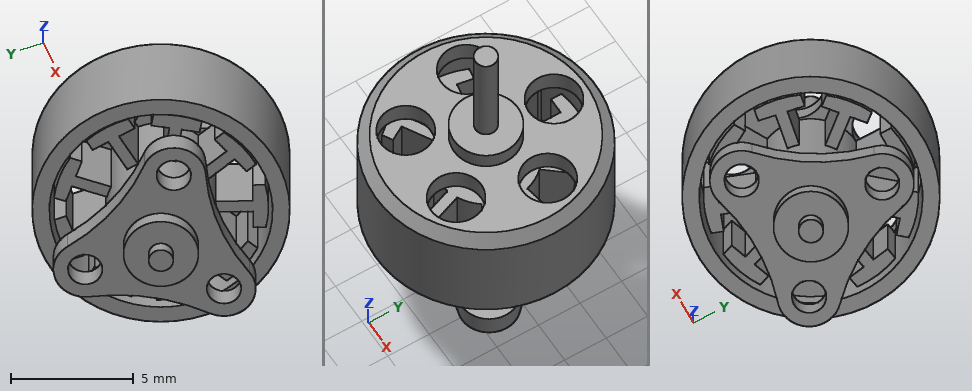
import cadquery as cq
import math

shaft_length = 14.9
lower_collar_bottom = 0.54
lower_collar_thickness = 0.67
base_bottom = 1.3
base_thickness = 1.01
bell_bottom = 4.02
bell_height = 4.99
bell_plate = 1.0
hub_height = 0.8
ceiling_gap = 0.73
stator_height = 3.0

shaft_diameter = 1.0
collar_diameter = 3.05
bell_diameter = 10.5
bell_bore = 9.1
bell_chamfer = 0.5
vent_count = 5
vent_diameter = 2.4
vent_circle_radius = 3.28

bore_diameter = 1.3
post_diameter = 4.5
boss_diameter = 3.0
boss_height = 0.21
tooth_count = 9
tooth_width = 0.5
tip_width = 2.0
tip_inner_radius = 3.75
stator_diameter = 8.76

ear_count = 3
ear_circle_radius = 3.31
ear_radius = 1.3
ear_hole_diameter = 1.4
ear_wrap_angle = 77.0

lower_collar_top = lower_collar_bottom + lower_collar_thickness
base_top = base_bottom + base_thickness
bell_top = bell_bottom + bell_height
bell_ceiling = bell_top - bell_plate
stator_top = bell_ceiling - ceiling_gap
stator_bottom = stator_top - stator_height
boss_top = stator_top + boss_height


def cylinder(diameter, bottom, top):
    """Upright cylinder on the Z axis between two heights."""
    return cq.Workplane("XY").workplane(offset=bottom).circle(diameter / 2).extrude(top - bottom)


def polar(radius, angle):
    """X and Y of a point at an angle in degrees from +X."""
    turn = math.radians(angle)
    return (radius * math.cos(turn), radius * math.sin(turn))


def ring_of_points(radius, count):
    """Evenly spaced points on a circle, the first one on +Y."""
    return [polar(radius, 90 + i * 360 / count) for i in range(count)]


def make_rotor():
    """Vented bell, top hub, inner collar resting on the stator boss, shaft and lower collar."""
    bell = cylinder(bell_diameter, bell_bottom, bell_top).faces(">Z").chamfer(bell_chamfer)
    bell = bell.cut(cylinder(bell_bore, bell_bottom, bell_ceiling))
    vents = (
        cq.Workplane("XY")
        .workplane(offset=bell_ceiling)
        .pushPoints(ring_of_points(vent_circle_radius, vent_count))
        .circle(vent_diameter / 2)
        .extrude(bell_plate)
    )
    hub = cylinder(collar_diameter, bell_top, bell_top + hub_height)
    inner_collar = cylinder(boss_diameter, boss_top, bell_ceiling)
    shaft = cylinder(shaft_diameter, 0, shaft_length)
    lower_collar = cylinder(collar_diameter, lower_collar_bottom, lower_collar_top)
    return bell.cut(vents).union(hub).union(inner_collar).union(shaft).union(lower_collar)


def make_base():
    """Three-eared plate: round ears joined by tangent concave arcs."""
    spacing = 360 / ear_count
    half_spacing = spacing / 2
    arc_turn = ear_wrap_angle - half_spacing
    ear_along, ear_across = polar(ear_circle_radius, half_spacing)
    reach = ear_across / math.sin(math.radians(arc_turn))
    arc_center_radius = ear_along + reach * math.cos(math.radians(arc_turn))
    arc_radius = reach - ear_radius
    waist_radius = arc_center_radius - arc_radius

    def ear_tangent(ear_angle, side):
        center = polar(ear_circle_radius, ear_angle)
        edge = polar(ear_radius, ear_angle + side * ear_wrap_angle)
        return (center[0] + edge[0], center[1] + edge[1])

    outline = cq.Workplane("XY").workplane(offset=base_bottom).moveTo(*ear_tangent(90, -1))
    for i in range(ear_count):
        ear_angle = 90 + i * spacing
        ear_end = polar(ear_circle_radius + ear_radius, ear_angle)
        waist = polar(waist_radius, ear_angle + half_spacing)
        outline = outline.threePointArc(ear_end, ear_tangent(ear_angle, 1))
        outline = outline.threePointArc(waist, ear_tangent(ear_angle + spacing, -1))
    plate = outline.close().extrude(base_thickness)
    holes = (
        cq.Workplane("XY")
        .workplane(offset=base_bottom)
        .pushPoints(ring_of_points(ear_circle_radius, ear_count))
        .circle(ear_hole_diameter / 2)
        .extrude(base_thickness)
    )
    return plate.cut(holes)


def make_teeth():
    """T-shaped stator teeth, their tips rounded to the stator diameter."""
    outer_radius = stator_diameter / 2
    plane = cq.Workplane("XY").workplane(offset=stator_bottom)
    arm = plane.center(0, outer_radius / 2).rect(tooth_width, outer_radius).extrude(stator_height)
    tip_depth = outer_radius - tip_inner_radius
    tip_center = tip_inner_radius + tip_depth / 2
    tip = plane.center(0, tip_center).rect(tip_width, tip_depth).extrude(stator_height)
    envelope = cylinder(stator_diameter, stator_bottom, stator_top)
    tooth = arm.union(tip).intersect(envelope)
    teeth = tooth
    for i in range(1, tooth_count):
        teeth = teeth.union(tooth.rotate((0, 0, 0), (0, 0, 1), i * 360 / tooth_count))
    return teeth


def make_stator():
    """Mounting base, central post with a raised boss, and teeth, with a clearance bore for the shaft."""
    post = cylinder(post_diameter, base_top, stator_top)
    boss = cylinder(boss_diameter, stator_top, boss_top)
    body = make_base().union(post).union(boss).union(make_teeth())
    return body.cut(cylinder(bore_diameter, base_bottom, boss_top))


rotor = make_rotor()
stator = make_stator()
result = cq.Compound.makeCompound([rotor.val(), stator.val()])